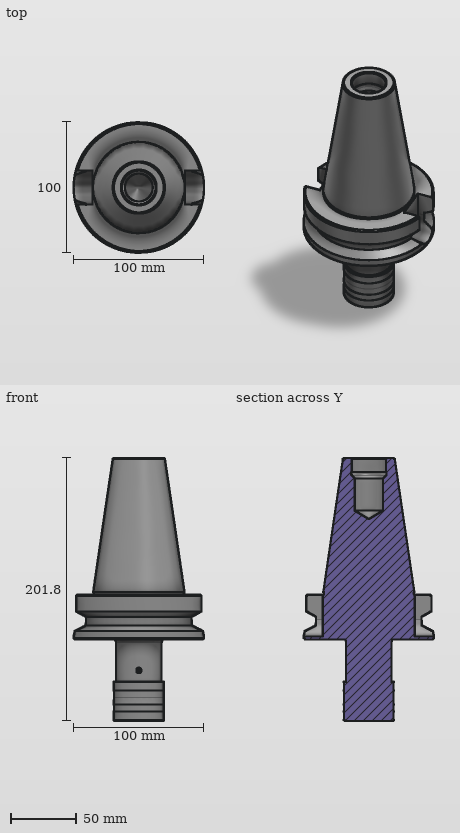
import cadquery as cq
import math

total_height = 201.8
gauge_height = 100.0
flange_top = 97.0
flange_bottom = 62.5
collar_height = 30.3

taper_radius = 35.0
taper_slope = 7 / 48
taper_edge = 1.0
neck_depth = 0.6
neck_height = 1.8

flange_radius = 50.0
upper_flange_radius = 49.8
groove_radius = 42.5
groove_middle = 76.7
groove_floor_width = 6.7
flank_angle = 30.0
flange_top_chamfer = 1.2
flange_bottom_chamfer = 1.2

shank_radius = 17.5
shank_flare_height = 2.5
shank_flare_width = 0.8
collar_radius = 19.27
collar_chamfer = 0.8
collar_top_chamfer = 0.5
ring_radius = 19.2
ring_count = 2
ring_height = 5.5
ring_start = 7.3

slot_width = 26.0
slot_floor = 35.3
slot_bottom = 65.0

bore_radius = 13.0
bore_depth = 10.7
bore_chamfer = 0.8
relief_height = 2.8
relief_depth = 0.6
thread_radius = 10.7
thread_depth = 40.4
step_angle = 45.0
drill_tip_angle = 59.0

screw_radius = 1.0
screw_countersink_radius = 2.0
screw_height = 39.0
screw_depth = 6.0


def revolve_about_z(outline):
    """Revolve a closed outline drawn in the XZ plane about Z."""
    return outline.close().revolve(360, (0, 0, 0), (0, 1, 0))


def make_body():
    top_radius = taper_radius - (total_height - gauge_height) * taper_slope
    flank_slope = math.tan(math.radians(flank_angle))
    lower_flank_height = (flange_radius - groove_radius) * flank_slope
    upper_flank_height = (upper_flange_radius - groove_radius) * flank_slope
    floor_top = groove_middle + groove_floor_width / 2
    floor_bottom = groove_middle - groove_floor_width / 2
    neck_top = flange_top + neck_height
    taper_base_radius = taper_radius + (gauge_height - neck_top) * taper_slope
    flare_radius = (shank_flare_height**2 + shank_flare_width**2) / (2 * shank_flare_width)
    outline = (
        cq.Workplane("XZ")
        .lineTo(collar_radius - collar_chamfer, 0)
        .lineTo(collar_radius, collar_chamfer)
        .lineTo(collar_radius, ring_start)
    )
    for ring in range(ring_count):
        ring_bottom = ring_start + 2 * ring * ring_height
        ring_top = ring_bottom + ring_height
        outline = (
            outline.lineTo(ring_radius, ring_bottom)
            .lineTo(ring_radius, ring_top)
            .lineTo(collar_radius, ring_top)
        )
    outline = (
        outline.lineTo(collar_radius, collar_height - collar_top_chamfer)
        .lineTo(collar_radius - collar_top_chamfer, collar_height)
        .lineTo(shank_radius, collar_height)
        .lineTo(shank_radius, flange_bottom - shank_flare_height)
        .radiusArc((shank_radius + shank_flare_width, flange_bottom), flare_radius)
        .lineTo(flange_radius - flange_bottom_chamfer, flange_bottom)
        .lineTo(flange_radius, flange_bottom + flange_bottom_chamfer)
        .lineTo(flange_radius, floor_bottom - lower_flank_height)
        .lineTo(groove_radius, floor_bottom)
        .lineTo(groove_radius, floor_top)
        .lineTo(upper_flange_radius, floor_top + upper_flank_height)
        .lineTo(upper_flange_radius, flange_top - flange_top_chamfer)
        .lineTo(upper_flange_radius - flange_top_chamfer, flange_top)
        .lineTo(taper_base_radius, flange_top)
        .threePointArc(
            (taper_base_radius - neck_depth, flange_top + neck_height / 2),
            (taper_base_radius, neck_top),
        )
        .lineTo(top_radius, total_height - taper_edge)
        .lineTo(top_radius - taper_edge, total_height)
        .lineTo(0, total_height)
    )
    return revolve_about_z(outline)


def make_bore():
    step_height = (bore_radius - thread_radius) / math.tan(math.radians(step_angle))
    tip_height = thread_radius / math.tan(math.radians(drill_tip_angle))
    thread_bottom = total_height - thread_depth
    relief_top = total_height - bore_depth
    step_top = relief_top - relief_height
    outline = (
        cq.Workplane("XZ")
        .moveTo(0, total_height)
        .lineTo(bore_radius + bore_chamfer, total_height)
        .lineTo(bore_radius, total_height - bore_chamfer)
        .lineTo(bore_radius, relief_top)
        .threePointArc(
            (bore_radius + relief_depth, relief_top - relief_height / 2),
            (bore_radius, step_top),
        )
        .lineTo(thread_radius, step_top - step_height)
        .lineTo(thread_radius, thread_bottom)
        .lineTo(0, thread_bottom - tip_height)
    )
    return revolve_about_z(outline)


def make_drive_slot(side):
    """Round-bottomed slot, open upward and outward; side is -1 or +1 along X."""
    half_width = slot_width / 2
    arc_center = slot_bottom + half_width
    return (
        cq.Workplane("YZ", origin=(side * slot_floor, 0, 0))
        .moveTo(-half_width, flange_top)
        .lineTo(-half_width, arc_center)
        .threePointArc((0, slot_bottom), (half_width, arc_center))
        .lineTo(half_width, flange_top)
        .close()
        .extrude(side * flange_radius)
    )


def make_screw_hole():
    """Blind hole entering from the -Y side, with a 45 degree countersink."""
    sink_depth = screw_countersink_radius - screw_radius
    outline = (
        cq.Workplane("XY", origin=(0, -shank_radius, screw_height))
        .lineTo(screw_countersink_radius, 0)
        .lineTo(screw_radius, sink_depth)
        .lineTo(screw_radius, screw_depth)
        .lineTo(0, screw_depth)
        .close()
    )
    return outline.revolve(360, (0, 0, 0), (0, 1, 0))


result = make_body().cut(make_bore()).cut(make_screw_hole())
for side in (-1, 1):
    result = result.cut(make_drive_slot(side))